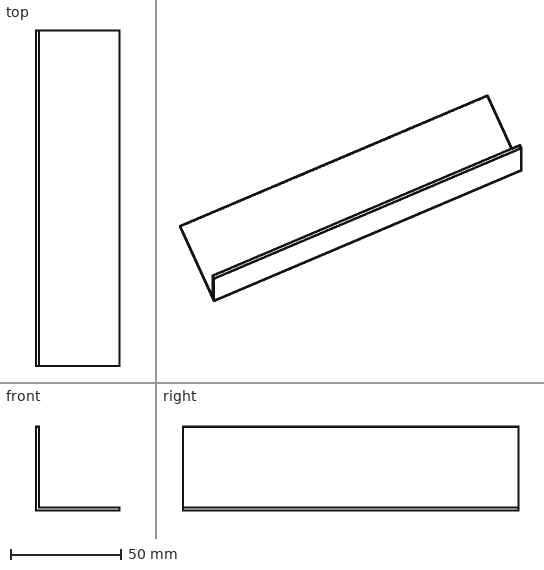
import cadquery as cq

length = 152.4
leg = 38.1
thickness = 1.5

section = [
    (0, 0),
    (leg, 0),
    (leg, thickness),
    (thickness, thickness),
    (thickness, leg),
    (0, leg),
]

result = cq.Workplane("XZ").polyline(section).close().extrude(-length)